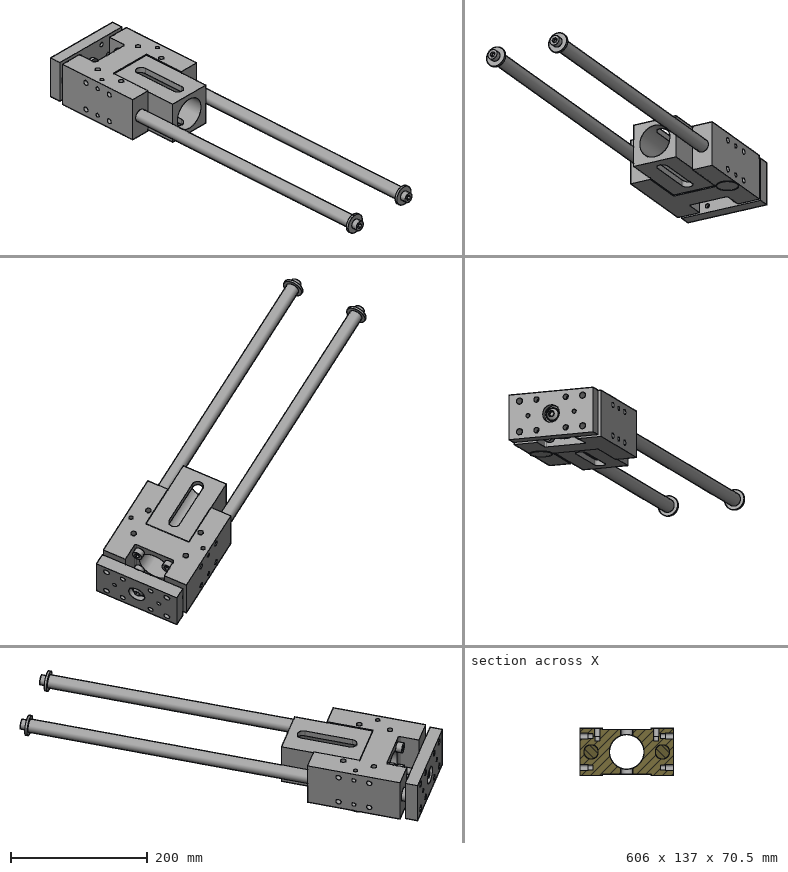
import cadquery as cq

OVERALL_LENGTH = 606.0
CUT_MARGIN = 6.0

HOUSING_FRONT = 26.0
HOUSING_LENGTH = 140.5
HOUSING_WIDTH = 137.0
HOUSING_HEIGHT = 69.5
HOUSING_BACK = HOUSING_FRONT + HOUSING_LENGTH
POCKET_DEPTH = 31.0
POCKET_WIDTH = 64.0
POCKET_CORNER_RADIUS = 2.5
POCKET_FLOOR = HOUSING_FRONT + POCKET_DEPTH

TONGUE_FRONT = 97.0
TONGUE_LENGTH = 119.0
TONGUE_WIDTH = 71.0
TONGUE_INSET = 2.0
TONGUE_BACK = TONGUE_FRONT + TONGUE_LENGTH
TONGUE_HEIGHT = HOUSING_HEIGHT - 2 * TONGUE_INSET
SLOT_LENGTH = 89.5
SLOT_WIDTH = 17.0
BORE_DIAMETER = 50.0

HOLE_CENTRE_X = HOUSING_FRONT + HOUSING_LENGTH / 2
HOLE_SPACING_X = 46.5
THREAD_DIAMETER = 8.0
THREAD_DEPTH = 12.0
PILOT_DIAMETER = 6.5
PILOT_DEPTH = 19.0
DOWEL_DIAMETER = 6.0
DOWEL_DEPTH = 9.5
TOP_THREAD_Y = 43.0
TOP_DOWEL_Y = 59.5
SIDE_HOLE_Z = 23.0

PAD_X = 92.0
PAD_DIAMETER = 33.0
PAD_HEIGHT = 1.0

SCREW_HEAD_DIAMETER = 15.0
SCREW_HEAD_HEIGHT = 9.0
SCREW_SOCKET_WIDTH = 8.0
SCREW_SOCKET_DEPTH = 5.0
POCKET_SCREW_Y = 24.0
POCKET_SCREW_Z = 21.0

PLATE_THICKNESS = 19.0
PLATE_WIDTH = 133.0
PLATE_HEIGHT = 67.0
OUTER_HOLE_DIAMETER = 9.0
OUTER_HOLE_Y = 49.5
INNER_HOLE_Y = 23.0
PLATE_HOLE_Z = 23.0
PLATE_DOWEL_Y = 36.5

RECESS_DIAMETER = 26.0
RECESS_DEPTH = 8.5
FLANGE_DIAMETER = 20.0
FLANGE_THICKNESS = 2.5
BUTTON_DIAMETER = 17.5
BUTTON_TOP_DIAMETER = 9.0
BUTTON_HEIGHT = 5.0
BUTTON_SOCKET_WIDTH = 8.5
BUTTON_SOCKET_DEPTH = 4.0
COLLAR_DIAMETER = 21.0
COLLAR_LENGTH = 5.5
STUD_DIAMETER = 10.0
STUD_LENGTH = 13.0

ROD_DIAMETER = 20.0
ROD_Y = 52.0
WASHER_DIAMETER = 30.0
WASHER_THICKNESS = 3.5
WASHER_BACK = OVERALL_LENGTH - SCREW_HEAD_HEIGHT
ROD_END = WASHER_BACK - WASHER_THICKNESS


def block(x_start, x_end, width, height):
    """Box between two X planes, centred on the X axis."""
    outline = cq.Workplane("YZ", origin=(x_start, 0, 0)).rect(width, height)
    return outline.extrude(x_end - x_start)


def rod_along_x(x_start, x_end, diameter, y=0.0, z=0.0):
    """Round bar parallel to X between two X planes."""
    return cq.Workplane("YZ", origin=(x_start, y, z)).circle(diameter / 2).extrude(x_end - x_start)


def screw_head(x_seat, direction, y, z):
    """Socket screw head that rises from x_seat; direction is +1 or -1 along X."""
    plane = cq.Plane(origin=(x_seat, y, z), xDir=(0, 1, 0), normal=(direction, 0, 0))
    head = cq.Workplane(plane).circle(SCREW_HEAD_DIAMETER / 2).extrude(SCREW_HEAD_HEIGHT)
    socket = (
        cq.Workplane(plane)
        .workplane(offset=SCREW_HEAD_HEIGHT - SCREW_SOCKET_DEPTH)
        .polygon(6, SCREW_SOCKET_WIDTH)
        .extrude(SCREW_SOCKET_DEPTH)
    )
    return head.cut(socket)


def housing_block():
    """Housing with its front pocket, tongue, tongue slot and cylinder bore."""
    body = block(HOUSING_FRONT, HOUSING_BACK, HOUSING_WIDTH, HOUSING_HEIGHT)
    full_height = HOUSING_HEIGHT + 2 * CUT_MARGIN
    pocket = block(HOUSING_FRONT - CUT_MARGIN, POCKET_FLOOR, POCKET_WIDTH, full_height)
    pocket = pocket.edges("|Z and >X").fillet(POCKET_CORNER_RADIUS)
    recess = block(TONGUE_FRONT, HOUSING_BACK + CUT_MARGIN, TONGUE_WIDTH, full_height)
    tongue = block(TONGUE_FRONT, TONGUE_BACK, TONGUE_WIDTH, TONGUE_HEIGHT)
    slot = (
        cq.Workplane("XY", origin=(TONGUE_FRONT + TONGUE_LENGTH / 2, 0, 0))
        .slot2D(SLOT_LENGTH, SLOT_WIDTH)
        .extrude(full_height / 2, both=True)
    )
    bore = rod_along_x(POCKET_FLOOR - CUT_MARGIN, TONGUE_BACK + CUT_MARGIN, BORE_DIAMETER)
    return body.cut(pocket).cut(recess).union(tongue).cut(slot).cut(bore)


def drill(body, face, points, depth, diameter):
    """Cut round holes at points of a face plane; depth is signed along the plane's normal."""
    return body.cut(face.pushPoints(points).circle(diameter / 2).extrude(depth))


def tap(body, face, points, inward):
    """Cut threaded holes, each with a narrower pilot end; inward is +1 or -1 along the plane's normal."""
    body = drill(body, face, points, inward * THREAD_DEPTH, THREAD_DIAMETER)
    return drill(body, face, points, inward * PILOT_DEPTH, PILOT_DIAMETER)


def drill_housing(body):
    """Threaded and dowel holes in the top and in both long sides."""
    thread_xs = [HOLE_CENTRE_X - HOLE_SPACING_X / 2, HOLE_CENTRE_X + HOLE_SPACING_X / 2]
    top = cq.Workplane("XY", origin=(0, 0, HOUSING_HEIGHT / 2))
    threads = [(x, y) for x in thread_xs for y in (-TOP_THREAD_Y, TOP_THREAD_Y)]
    dowels = [(HOLE_CENTRE_X, -TOP_DOWEL_Y), (HOLE_CENTRE_X, TOP_DOWEL_Y)]
    body = tap(body, top, threads, -1)
    body = drill(body, top, dowels, -DOWEL_DEPTH, DOWEL_DIAMETER)

    threads = [(x, z) for x in thread_xs for z in (-SIDE_HOLE_Z, SIDE_HOLE_Z)]
    dowels = [(HOLE_CENTRE_X, -SIDE_HOLE_Z), (HOLE_CENTRE_X, SIDE_HOLE_Z)]
    for side in (-1, 1):
        face = cq.Workplane("XZ", origin=(0, side * HOUSING_WIDTH / 2, 0))
        body = tap(body, face, threads, side)
        body = drill(body, face, dowels, side * DOWEL_DEPTH, DOWEL_DIAMETER)
    return body


def make_housing():
    """Housing with rod bores, the pocket screws and the pad underneath."""
    body = drill_housing(housing_block())
    for y in (-ROD_Y, ROD_Y):
        body = body.cut(rod_along_x(HOUSING_FRONT - CUT_MARGIN, HOUSING_BACK + CUT_MARGIN, ROD_DIAMETER, y))
    for y in (-POCKET_SCREW_Y, POCKET_SCREW_Y):
        for z in (-POCKET_SCREW_Z, POCKET_SCREW_Z):
            body = body.union(screw_head(POCKET_FLOOR, -1, y, z))
    pad = (
        cq.Workplane("XY", origin=(PAD_X, ROD_Y, -HOUSING_HEIGHT / 2))
        .circle(PAD_DIAMETER / 2)
        .extrude(-PAD_HEIGHT)
    )
    return body.union(pad)


def front_plate():
    """Plate with clearance, threaded and dowel holes and the central recess."""
    plate = block(0, PLATE_THICKNESS, PLATE_WIDTH, PLATE_HEIGHT)
    face = cq.Workplane("YZ")
    clearances = [(y, z) for y in (-OUTER_HOLE_Y, OUTER_HOLE_Y) for z in (-PLATE_HOLE_Z, PLATE_HOLE_Z)]
    threads = [(y, z) for y in (-INNER_HOLE_Y, INNER_HOLE_Y) for z in (-PLATE_HOLE_Z, PLATE_HOLE_Z)]
    dowels = [(-PLATE_DOWEL_Y, 0), (PLATE_DOWEL_Y, 0)]
    plate = drill(plate, face, clearances, PLATE_THICKNESS, OUTER_HOLE_DIAMETER)
    plate = tap(plate, face, threads, 1)
    plate = drill(plate, face, dowels, PLATE_THICKNESS, DOWEL_DIAMETER)
    return plate.cut(rod_along_x(0, RECESS_DEPTH, RECESS_DIAMETER))


def coupling_screw():
    """Flanged, tapered head in the plate recess, and the collar and stud behind the plate."""
    flange_front = RECESS_DEPTH - FLANGE_THICKNESS
    head_top = flange_front - BUTTON_HEIGHT
    flange = rod_along_x(flange_front, RECESS_DEPTH, FLANGE_DIAMETER)
    head = (
        cq.Workplane("YZ", origin=(head_top, 0, 0))
        .circle(BUTTON_TOP_DIAMETER / 2)
        .workplane(offset=BUTTON_HEIGHT)
        .circle(BUTTON_DIAMETER / 2)
        .loft()
    )
    socket = (
        cq.Workplane("YZ", origin=(head_top, 0, 0))
        .polygon(6, BUTTON_SOCKET_WIDTH)
        .extrude(BUTTON_SOCKET_DEPTH)
    )
    collar_back = PLATE_THICKNESS + COLLAR_LENGTH
    collar = rod_along_x(RECESS_DEPTH, collar_back, COLLAR_DIAMETER)
    stud = rod_along_x(collar_back, collar_back + STUD_LENGTH, STUD_DIAMETER)
    return head.cut(socket).union(flange).union(collar).union(stud)


def make_slide():
    """Moving part: front plate, coupling screw and both guide rods."""
    body = front_plate().union(coupling_screw())
    for y in (-ROD_Y, ROD_Y):
        body = body.union(rod_along_x(PLATE_THICKNESS, ROD_END, ROD_DIAMETER, y))
        body = body.union(rod_along_x(ROD_END, WASHER_BACK, WASHER_DIAMETER, y))
        body = body.union(screw_head(WASHER_BACK, 1, y, 0))
    return body


housing = make_housing()
slide = make_slide()

result = cq.Compound.makeCompound([housing.solids().val(), slide.solids().val()])